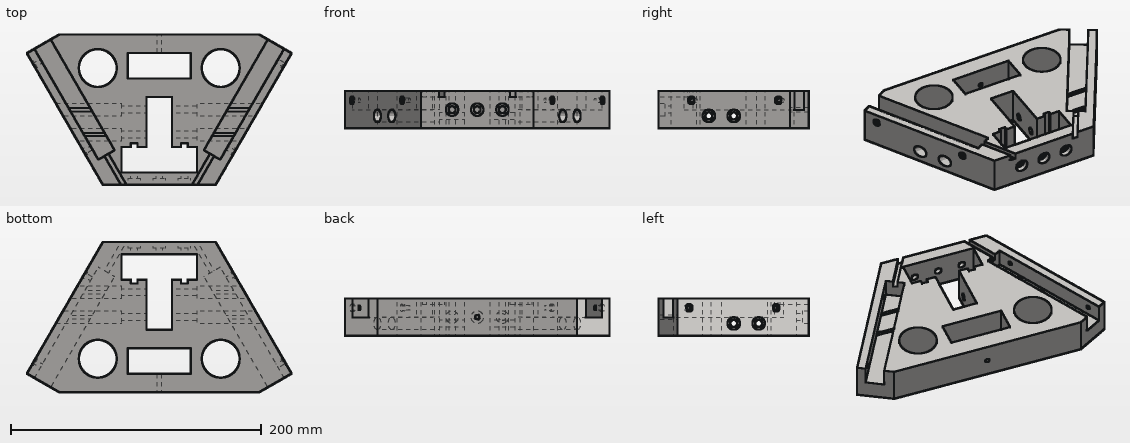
import cadquery as cq
import math

width = 211.2
depth = 120.0
thickness = 30.0
base_width = 90.0
flank_angle = math.radians(30)
flank_length = (width - base_width) / 2 / math.sin(flank_angle)

bore_diameter = 30.0
bore_x = 49.0
bore_y = 93.2

bar_length = 20.0
front_wall = bar_length / 2
back_wall = 15.0
window_length_x = 50.0
stem_top_y = 70.0
crossbar_length_x = 60.0
notch_width = 5.0
notch_depth = 3.0
notch_x = 20.0

pocket_wall = 7.0
pocket_width = 15.0
pocket_depth = 15.2
pocket_start = 19.2
groove_width = 3.8
groove_depth = 5.0

screw_positions = (30.0, 110.0)
screw_z = 22.4
screw_diameter = 3.4
screw_head_diameter = 6.0
screw_head_depth = 1.5

bolt_diameter = 5.5
bolt_head_diameter = 10.0
end_hole_z = thickness / 2
front_bolt_spacing = notch_x
front_bolt_head_depth = front_wall / 2
back_hole_diameter = 3.4
cross_bolt_ys = (40.1, 60.0)
cross_bolt_z = thickness / 3
cross_bolt_head_floor_x = 30.0

overrun = 2.1


def both_sides(shape):
    return shape.union(shape.mirror("YZ"))


def flank_point(along, inward):
    """XY point at a distance along the +X flank and inward from it."""
    x = base_width / 2 + along * math.sin(flank_angle) - inward * math.cos(flank_angle)
    y = along * math.cos(flank_angle) + inward * math.sin(flank_angle)
    return (x, y)


def flank_slot(start, end, inner_offset, slot_width, slot_depth):
    """Cutter parallel to the +X flank, sunk from the top face."""
    outline = [
        flank_point(start, inner_offset),
        flank_point(end, inner_offset),
        flank_point(end, inner_offset + slot_width),
        flank_point(start, inner_offset + slot_width),
    ]
    slot = cq.Workplane("XY").workplane(offset=thickness - slot_depth).polyline(outline).close()
    return slot.extrude(slot_depth + overrun)


def cylinder(start, direction, diameter, length):
    return cq.Workplane(
        cq.Solid.makeCylinder(diameter / 2, length, cq.Vector(*start), cq.Vector(*direction))
    )


def through_box(x_length, y_min, y_max, x_center=0.0):
    y_length = y_max - y_min
    box = cq.Workplane("XY").box(x_length, y_length, thickness, centered=(True, False, False))
    return box.translate((x_center, y_min, 0))


def block():
    tip_x, tip_y = flank_point(flank_length, 0)
    back_corner_x = tip_x - (depth - tip_y) / math.tan(flank_angle)
    right_points = [(base_width / 2, 0), (tip_x, tip_y), (back_corner_x, depth)]
    left_points = [(-x, y) for x, y in reversed(right_points)]
    return cq.Workplane("XY").polyline(right_points + left_points).close().extrude(thickness)


def bores():
    return both_sides(cylinder((bore_x, bore_y, 0), (0, 0, 1), bore_diameter, thickness))


def window():
    window_back_y = depth - back_wall
    return through_box(window_length_x, window_back_y - bar_length, window_back_y)


def t_opening():
    crossbar_back_y = front_wall + bar_length
    crossbar = through_box(crossbar_length_x, front_wall, crossbar_back_y)
    stem = through_box(bar_length, front_wall, stem_top_y)
    notch = through_box(notch_width, front_wall, crossbar_back_y + notch_depth, notch_x)
    return crossbar.union(stem).union(both_sides(notch))


def flank_pockets():
    pocket = flank_slot(pocket_start, flank_length + overrun, pocket_wall, pocket_width, pocket_depth)
    groove_offset = pocket_wall + (pocket_width - groove_width) / 2
    groove_start = -(groove_offset + groove_width)
    groove_end = pocket_start + overrun
    groove = flank_slot(groove_start, groove_end, groove_offset, groove_width, groove_depth)
    return both_sides(pocket.union(groove))


def set_screw_holes():
    inward = (-math.cos(flank_angle), math.sin(flank_angle), 0)
    holes = cq.Workplane("XY")
    for along in screw_positions:
        start = (*flank_point(along, 0), screw_z)
        hole = cylinder(start, inward, screw_diameter, pocket_wall + overrun)
        head = cylinder(start, inward, screw_head_diameter, screw_head_depth)
        holes = holes.union(hole).union(head)
    return both_sides(holes)


def front_bolt_holes():
    """Counterbored holes through the front bar."""
    holes = cq.Workplane("XY")
    for x in (-front_bolt_spacing, 0, front_bolt_spacing):
        start = (x, 0, end_hole_z)
        holes = holes.union(cylinder(start, (0, 1, 0), bolt_diameter, front_wall + overrun))
        holes = holes.union(cylinder(start, (0, 1, 0), bolt_head_diameter, front_bolt_head_depth))
    return holes


def back_hole():
    """Small hole through the back wall into the window."""
    return cylinder((0, depth, end_hole_z), (0, -1, 0), back_hole_diameter, back_wall + overrun)


def cross_bolt_holes():
    """Holes across the full width, with deep counterbores from both flanks."""
    holes = cq.Workplane("XY")
    head_length = width / 2 - cross_bolt_head_floor_x
    for y in cross_bolt_ys:
        shank_start = (-width / 2, y, cross_bolt_z)
        head_start = (cross_bolt_head_floor_x, y, cross_bolt_z)
        holes = holes.union(cylinder(shank_start, (1, 0, 0), bolt_diameter, width))
        holes = holes.union(both_sides(cylinder(head_start, (1, 0, 0), bolt_head_diameter, head_length)))
    return holes


result = block()
result = result.cut(bores()).cut(window()).cut(t_opening())
result = result.cut(flank_pockets()).cut(set_screw_holes())
result = result.cut(front_bolt_holes()).cut(back_hole()).cut(cross_bolt_holes())